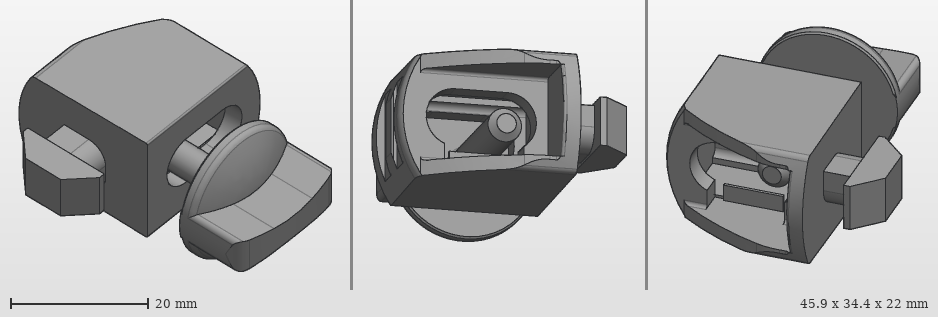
import cadquery as cq
import math


LIP_X = -24.9
BASE_Y = -8.55
TOP_Y = 16.4
BACK_HALF_WIDTH = 9.45
FRONT_HALF_WIDTH = 9.13
BACK_EDGE_FILLET = 0.28
FRONT_RADIUS = 17.2
END_RADIUS = 16.95
FRONT_CORNER_RADIUS = 1.15
END_ROUND_LENGTH = 1.65
END_ROUND_DEPTH = 0.55

PLATE_X = -15.7
SLOPE_TOP_Y = 13.25
SLOPE_MID = (-19.45, 7.15)
SLOPE_END = (-22.65, -0.6)
CHEEK_X = -23.15
CHEEK_TOP_Y = -4.3
LIP_TOP_Y = -5.95
LIP_FILLET = 0.7
LIP_EDGE_FILLET = 0.4

CAVITY_HALF_WIDTH = 6.95
CAVITY_FILLET = 0.55
PLATE_THICKNESS = 3.2
BACK_WALL = 3.2
CHAMBER_HALF_WIDTH = 6.55
LEDGE_HALF_WIDTH = 5.6
LEDGE_FILLET = 1.1
CHAMBER_TOP_Y = 13.05
SLOT_HALF_WIDTH = 4.35
SLOT_LOW_Y = -4.2
SLOT_HIGH_Y = 12.4
CHANNEL_LOW_Y = -2.35
CHANNEL_HIGH_Y = 9.68
TONGUE_LOW_Y = -1.1
TONGUE_HIGH_Y = 8.15
TONGUE_THICKNESS = 0.45

NOTCH_START_X = -12.5
NOTCH_END_X = -2.5
NOTCH_FLOOR_Y = 15.1
RIB_START_X = -9.3
RIB_END_X = -5.8
RIB_TOP_Y = 15.9
RIB_CHAMFER = 0.3

STEM_START_X = -16.1
STEM_END_X = -8.1
STEM_HALF_WIDTH = 3.25
HEAD_CENTER_X = -11.95
HEAD_HALF_WIDTH = 3.65
HEAD_HALF_LENGTH = 7.4
HEAD_TIP_HALF_LENGTH = 3.4
HEAD_TOP_Y = -12.9
HEAD_SHOULDER_Y = -13.9
HEAD_TIP_Y = -17.95

SHAFT_RADIUS = 2.5
SHAFT_TIP_RADIUS = 1.45
SHAFT_TIP_X = -14.68
COLLAR_FILLET = 0.3
DISC_RADIUS = 11.0
DISC_X = 8.35
DISC_EDGE = 0.28
DISC_RIM_END_X = 9.75
DOME_START_X = 10.8
DOME_START_RADIUS = 10.45
DOME_APEX_X = 13.4
DOME_SPHERE_RADIUS = 22.1

WING_END_X = 20.95
WING_END_RADIUS = 40.8
WING_CORNER_RADIUS = 2.75
WING_WAIST_HALF = 2.1
WING_FLAT_Y = 4.2
WING_FLANK_ANGLE = 6.6
WING_EDGE_FILLET = 0.9

MARGIN = 4.6


def box(x_range, y_range, z_range):
    """Box between two limits on each axis."""
    sizes = [high - low for low, high in (x_range, y_range, z_range)]
    corner = (x_range[0], y_range[0], z_range[0])
    return cq.Workplane("XY").box(*sizes, centered=False).translate(corner)


def extrude_through_z(outline):
    """Extrude an XY outline symmetrically, past both sides of the housing."""
    return outline.extrude(BACK_HALF_WIDTH + MARGIN, both=True)


def side_profile():
    """Housing outline in XY: base, back, end wall, sloping front and lip."""
    outline = (
        cq.Workplane("XY")
        .moveTo(LIP_X, BASE_Y)
        .lineTo(0, BASE_Y)
        .lineTo(0, TOP_Y)
        .lineTo(PLATE_X, TOP_Y)
        .lineTo(PLATE_X, SLOPE_TOP_Y)
        .threePointArc(SLOPE_MID, SLOPE_END)
        .tangentArcPoint((CHEEK_X, CHEEK_TOP_Y), relative=False)
        .lineTo(CHEEK_X, LIP_TOP_Y + LIP_FILLET)
        .radiusArc((CHEEK_X - LIP_FILLET, LIP_TOP_Y), LIP_FILLET)
        .lineTo(LIP_X, LIP_TOP_Y)
        .close()
    )
    return extrude_through_z(outline)


def plan_profile():
    """Housing outline in XZ: drafted sides and a curved front, extruded along Y."""
    sag = FRONT_RADIUS - math.sqrt(FRONT_RADIUS**2 - FRONT_HALF_WIDTH**2)
    corner_x = LIP_X + sag
    return (
        cq.Workplane("XZ", origin=(0, TOP_Y + MARGIN, 0))
        .moveTo(0, -BACK_HALF_WIDTH)
        .lineTo(0, BACK_HALF_WIDTH)
        .lineTo(corner_x, FRONT_HALF_WIDTH)
        .threePointArc((LIP_X, 0), (corner_x, -FRONT_HALF_WIDTH))
        .close()
        .extrude(TOP_Y - BASE_Y + 2 * MARGIN)
        .edges("|Y")
        .edges("<X")
        .fillet(FRONT_CORNER_RADIUS)
        .edges("|Y and >X")
        .fillet(BACK_EDGE_FILLET)
    )


def end_dome():
    """Body of revolution about an X axis that rounds the end wall of the housing."""
    axis_y = TOP_Y - END_RADIUS
    round_radius = (END_ROUND_LENGTH**2 + END_ROUND_DEPTH**2) / (2 * END_ROUND_DEPTH)
    return (
        cq.Workplane("XY")
        .moveTo(0, axis_y)
        .lineTo(0, TOP_Y)
        .lineTo(PLATE_X + END_ROUND_LENGTH, TOP_Y)
        .radiusArc((PLATE_X, TOP_Y - END_ROUND_DEPTH), -round_radius)
        .lineTo(LIP_X, TOP_Y - END_ROUND_DEPTH)
        .lineTo(LIP_X, axis_y)
        .close()
        .revolve(360, (0, axis_y, 0), (1, axis_y, 0))
    )


def front_cavity():
    """Open recess in front of the plate, between the side walls."""
    return (
        box(
            (LIP_X - MARGIN, PLATE_X),
            (LIP_TOP_Y, TOP_Y + MARGIN),
            (-CAVITY_HALF_WIDTH, CAVITY_HALF_WIDTH),
        )
        .faces(">X")
        .edges("|Y")
        .fillet(CAVITY_FILLET)
    )


def chamber():
    """Hollow between the plate and the back wall, with a ledge along each side at the back."""
    front_x = PLATE_X + PLATE_THICKNESS
    ledge_x = -BACK_WALL - LEDGE_FILLET
    wall_half_width = LEDGE_HALF_WIDTH - LEDGE_FILLET
    return (
        cq.Workplane("XZ", origin=(0, CHAMBER_TOP_Y, 0))
        .moveTo(front_x, -CHAMBER_HALF_WIDTH)
        .lineTo(front_x, CHAMBER_HALF_WIDTH)
        .lineTo(ledge_x, CHAMBER_HALF_WIDTH)
        .lineTo(ledge_x, LEDGE_HALF_WIDTH)
        .radiusArc((-BACK_WALL, wall_half_width), LEDGE_FILLET)
        .lineTo(-BACK_WALL, -wall_half_width)
        .radiusArc((ledge_x, -LEDGE_HALF_WIDTH), LEDGE_FILLET)
        .lineTo(ledge_x, -CHAMBER_HALF_WIDTH)
        .close()
        .extrude(CHAMBER_TOP_Y - LIP_TOP_Y)
    )


def screw_slot():
    """Long round-ended slot through the plate and the back wall."""
    return (
        cq.Workplane("YZ", origin=(PLATE_X, 0, 0))
        .center((SLOT_LOW_Y + SLOT_HIGH_Y) / 2, 0)
        .slot2D(SLOT_HIGH_Y - SLOT_LOW_Y, 2 * SLOT_HALF_WIDTH)
        .extrude(-PLATE_X)
    )


def tongue_channel():
    """Channel from the slot to the side wall, leaving a thin tongue at the rear of the plate."""
    plate_back = PLATE_X + PLATE_THICKNESS
    channel = box(
        (PLATE_X - CAVITY_FILLET, plate_back),
        (CHANNEL_LOW_Y, CHANNEL_HIGH_Y),
        (-CAVITY_HALF_WIDTH, 0),
    )
    tongue = box(
        (plate_back - TONGUE_THICKNESS, plate_back),
        (TONGUE_LOW_Y, TONGUE_HIGH_Y),
        (-CAVITY_HALF_WIDTH, -SLOT_HALF_WIDTH),
    )
    return channel.cut(tongue)


def end_notch():
    """Notch across the end wall; the rib between its two halves stays."""
    outline = (
        cq.Workplane("XY")
        .moveTo(NOTCH_START_X, NOTCH_FLOOR_Y)
        .lineTo(RIB_START_X, NOTCH_FLOOR_Y)
        .lineTo(RIB_START_X, RIB_TOP_Y - RIB_CHAMFER)
        .lineTo(RIB_START_X + RIB_CHAMFER, RIB_TOP_Y)
        .lineTo(RIB_END_X - RIB_CHAMFER, RIB_TOP_Y)
        .lineTo(RIB_END_X, RIB_TOP_Y - RIB_CHAMFER)
        .lineTo(RIB_END_X, NOTCH_FLOOR_Y)
        .lineTo(NOTCH_END_X, NOTCH_FLOOR_Y)
        .lineTo(NOTCH_END_X, TOP_Y + MARGIN)
        .lineTo(NOTCH_START_X, TOP_Y + MARGIN)
        .close()
    )
    return extrude_through_z(outline)


def hammer_stem():
    """Stem with two opposite corners rounded, so that it can turn in a groove."""
    r = STEM_HALF_WIDTH
    return (
        cq.Workplane("XZ", origin=(0, BASE_Y, 0))
        .moveTo(STEM_START_X, r)
        .lineTo(STEM_END_X - r, r)
        .radiusArc((STEM_END_X, 0), r)
        .lineTo(STEM_END_X, -r)
        .lineTo(STEM_START_X + r, -r)
        .radiusArc((STEM_START_X, 0), r)
        .close()
        .extrude(BASE_Y - HEAD_TOP_Y)
    )


def hammer_head():
    """Head that tapers to a flat tip."""
    half_outline = [
        (HEAD_HALF_LENGTH, HEAD_TOP_Y),
        (HEAD_HALF_LENGTH, HEAD_SHOULDER_Y),
        (HEAD_TIP_HALF_LENGTH, HEAD_TIP_Y),
    ]
    mirrored = [(-x, y) for x, y in reversed(half_outline)]
    return (
        cq.Workplane("XY", origin=(HEAD_CENTER_X, 0, 0))
        .polyline(half_outline + mirrored)
        .close()
        .extrude(HEAD_HALF_WIDTH, both=True)
    )


def round_lip_edge(shell):
    """Round the curved front edge of the lip between the side walls."""
    lip_edge = cq.selectors.NearestToPointSelector((LIP_X, LIP_TOP_Y, 0))
    return shell.edges(lip_edge).fillet(LIP_EDGE_FILLET)


def make_housing():
    shell = side_profile().intersect(plan_profile()).intersect(end_dome())
    shell = shell.cut(front_cavity())
    shell = round_lip_edge(shell)
    for recess in (chamber(), screw_slot(), tongue_channel(), end_notch()):
        shell = shell.cut(recess)
    return shell.union(hammer_stem()).union(hammer_head())


def screw_turning():
    """Shaft, collar fillet, disc and dome, turned about the X axis."""
    tip_length = SHAFT_RADIUS - SHAFT_TIP_RADIUS
    return (
        cq.Workplane("XZ")
        .moveTo(SHAFT_TIP_X, 0)
        .lineTo(SHAFT_TIP_X, SHAFT_TIP_RADIUS)
        .lineTo(SHAFT_TIP_X + tip_length, SHAFT_RADIUS)
        .lineTo(DISC_X - COLLAR_FILLET, SHAFT_RADIUS)
        .radiusArc((DISC_X, SHAFT_RADIUS + COLLAR_FILLET), -COLLAR_FILLET)
        .lineTo(DISC_X, DISC_RADIUS - DISC_EDGE)
        .lineTo(DISC_X + DISC_EDGE, DISC_RADIUS)
        .lineTo(DISC_RIM_END_X, DISC_RADIUS)
        .tangentArcPoint((DOME_START_X, DOME_START_RADIUS), relative=False)
        .radiusArc((DOME_APEX_X, 0), DOME_SPHERE_RADIUS)
        .close()
        .revolve(360, (0, 0, 0), (1, 0, 0))
    )


def wing_section():
    """Bow-tie section in YZ, wider than the disc and extruded along the wing."""
    slope = math.tan(math.radians(WING_FLANK_ANGLE))
    flank_z = WING_WAIST_HALF + WING_FLAT_Y * math.tan(math.radians(WING_FLANK_ANGLE / 2))
    side_y = DISC_RADIUS + MARGIN
    side_z = flank_z + (side_y - WING_FLAT_Y) * slope
    return (
        cq.Workplane("YZ", origin=(DISC_X, 0, 0))
        .moveTo(-side_y, side_z)
        .lineTo(-WING_FLAT_Y, flank_z)
        .threePointArc((0, WING_WAIST_HALF), (WING_FLAT_Y, flank_z))
        .lineTo(side_y, side_z)
        .lineTo(side_y, -side_z)
        .lineTo(WING_FLAT_Y, -flank_z)
        .threePointArc((0, -WING_WAIST_HALF), (-WING_FLAT_Y, -flank_z))
        .lineTo(-side_y, -side_z)
        .close()
        .extrude(WING_END_X - DISC_X)
    )


def wing():
    """Grip across the disc: thinner in the middle, with sides that continue the disc cylinder."""
    disc_cylinder = (
        cq.Workplane("XZ")
        .moveTo(DISC_X, 0)
        .lineTo(DISC_X, DISC_RADIUS)
        .lineTo(WING_END_X, DISC_RADIUS)
        .lineTo(WING_END_X, 0)
        .close()
        .revolve(360, (0, 0, 0), (1, 0, 0))
    )
    grip = wing_section().intersect(disc_cylinder)
    rounded = grip.edges("|X").edges("<Y or >Y").fillet(WING_EDGE_FILLET)
    return rounded.intersect(wing_end())


def wing_end():
    """Gently curved end of the wing in XY, with rounded corners."""
    sag = WING_END_RADIUS - math.sqrt(WING_END_RADIUS**2 - DISC_RADIUS**2)
    end_x = WING_END_X - sag
    return (
        cq.Workplane("XY")
        .moveTo(DISC_X, -DISC_RADIUS)
        .lineTo(end_x, -DISC_RADIUS)
        .threePointArc((WING_END_X, 0), (end_x, DISC_RADIUS))
        .lineTo(DISC_X, DISC_RADIUS)
        .close()
        .extrude(DISC_RADIUS, both=True)
        .edges("|Z")
        .edges(">X")
        .fillet(WING_CORNER_RADIUS)
    )


def make_thumb_screw():
    return screw_turning().union(wing())


housing = make_housing()
thumb_screw = make_thumb_screw()

result = cq.Compound.makeCompound([housing.val(), thumb_screw.val()])